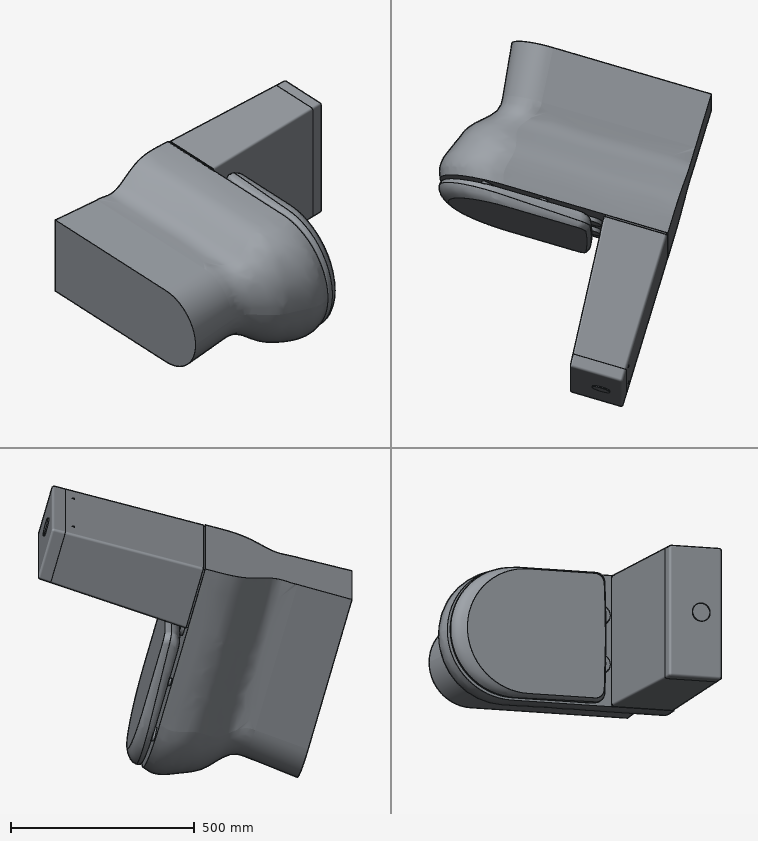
import cadquery as cq
import math


TOTAL_HEIGHT = 849.0
BODY_WIDTH = 365.0
HALF_WIDTH = BODY_WIDTH / 2

RIM_HEIGHT = 414.0
FLOOR_SECTION = (0, 119.0, 567.0)
WAIST_SECTION = (153, 112.0, 548.0)
BASIN_SECTIONS = [
    WAIST_SECTION,
    (178, 110.0, 548.0),
    (212, 109.5, 568.0),
    (250.5, 132.0, 607.0),
    (297, 166.0, 632.0),
    (344.0, 181.0, 649.5),
    (386.0, HALF_WIDTH, 656.0),
    (RIM_HEIGHT, HALF_WIDTH, 647.0),
]

TANK_BOTTOM = 419.0
TANK_DEPTH = 180.0
LID_JOINT_HEIGHT = 809.0
LID_TOP = 846.0
LID_DEPTH = 149.0
TANK_FILLET = 7.0
FOOT_INSET = 3.0
BACK_HOLE_DIAMETER = 7.0
BACK_HOLE_DEPTH = 13.0
BACK_HOLE_HEIGHT = 786.0
BACK_HOLE_Z = 115.5

BUTTON_DIAMETER = 50.0
BUTTON_X = 60.0

SEAT_BOTTOM = 423.0
COVER_TOP = 469.0
SEAT_SECTIONS = [
    (SEAT_BOTTOM, 171.5, 229.0, 640.0),
    (430.5, 180.0, 214.0, 643.5),
    (445.0, 181.0, 206.0, 640.0),
    (458.5, 178.0, 208.0, 627.0),
    (COVER_TOP, 173.0, 213.0, 607.0),
]
SEAT_CORNER_RADIUS = 25.5
SEAT_REAR_BOW = 3.0
JOINT_REAR_HEIGHT = 452.0
JOINT_REAR_X = 206.0
JOINT_FRONT_HEIGHT = 434.0
JOINT_FRONT_X = 643.5
JOINT_OVERHANG = 17.0

PAD_XS = [355.0, 511.0]
PAD_Z = 136.0
PAD_CENTRE_X = 407.5
PAD_LENGTH = 42.5
PAD_WIDTH = 20.0

HINGE_DIAMETER = 53.5
HINGE_TOP = 426.0
HINGE_X = 212.0
HINGE_Z = 68.0


def level(height):
    """Horizontal workplane at a height, with local x along X and local y along -Z."""
    return cq.Workplane("XZ", origin=(0, height, 0)).transformed(rotate=(180, 0, 0))


def bowl_section(height, half_width, front):
    """Flat-backed outline with straight sides and a half-round front, split at its tip."""
    centre = front - half_width
    diagonal = half_width * math.sqrt(0.5)
    return (
        level(height)
        .moveTo(0, -half_width)
        .lineTo(centre, -half_width)
        .threePointArc((centre + diagonal, -diagonal), (front, 0))
        .threePointArc((centre + diagonal, diagonal), (centre, half_width))
        .lineTo(0, half_width)
        .close()
        .wire()
        .val()
    )


def make_bowl():
    pedestal = cq.Solid.makeLoft([bowl_section(*FLOOR_SECTION), bowl_section(*WAIST_SECTION)], True)
    basin = cq.Solid.makeLoft([bowl_section(*section) for section in BASIN_SECTIONS])
    return cq.Workplane(pedestal).union(cq.Workplane(basin))


def tank_depth_at(height):
    """Depth of the tank where its sloping front passes a height."""
    slope = (LID_DEPTH - TANK_DEPTH) / (LID_TOP - TANK_BOTTOM)
    return TANK_DEPTH + slope * (height - TANK_BOTTOM)


def tank_block(bottom, top):
    """Part of the tapered tank between two heights, with its four upright edges rounded."""
    block = (
        cq.Workplane("XY", origin=(0, 0, -HALF_WIDTH))
        .polyline([(0, bottom), (tank_depth_at(bottom), bottom), (tank_depth_at(top), top), (0, top)])
        .close()
        .extrude(BODY_WIDTH)
    )
    return block.faces("<Z or >Z").edges("not #Y").fillet(TANK_FILLET)


def make_tank():
    foot = (
        level(RIM_HEIGHT)
        .center(TANK_DEPTH / 2, 0)
        .rect(TANK_DEPTH - 2 * FOOT_INSET, BODY_WIDTH - 2 * FOOT_INSET)
        .extrude(TANK_BOTTOM - RIM_HEIGHT)
    )
    back_holes = (
        cq.Workplane("YZ")
        .pushPoints([(BACK_HOLE_HEIGHT, -BACK_HOLE_Z), (BACK_HOLE_HEIGHT, BACK_HOLE_Z)])
        .circle(BACK_HOLE_DIAMETER / 2)
        .extrude(BACK_HOLE_DEPTH)
    )
    return tank_block(TANK_BOTTOM, LID_JOINT_HEIGHT).union(foot).cut(back_holes)


def make_tank_lid():
    return tank_block(LID_JOINT_HEIGHT, LID_TOP).faces(">Y").edges().fillet(TANK_FILLET)


def make_button():
    return (
        level(LID_TOP)
        .center(BUTTON_X, 0)
        .circle(BUTTON_DIAMETER / 2)
        .extrude(TOTAL_HEIGHT - LID_TOP)
    )


def seat_section(height, half_width, rear, front):
    """Outline with a bowed rear, rounded rear corners, straight sides and a half-round front."""
    centre = front - half_width
    corner_start = rear + SEAT_REAR_BOW
    corner_x = corner_start + SEAT_CORNER_RADIUS
    corner_z = half_width - SEAT_CORNER_RADIUS
    bulge = SEAT_CORNER_RADIUS * math.sqrt(0.5)
    return (
        level(height)
        .moveTo(corner_x, -half_width)
        .lineTo(centre, -half_width)
        .threePointArc((front, 0), (centre, half_width))
        .lineTo(corner_x, half_width)
        .threePointArc((corner_x - bulge, corner_z + bulge), (corner_start, corner_z))
        .threePointArc((rear, 0), (corner_start, -corner_z))
        .threePointArc((corner_x - bulge, -corner_z - bulge), (corner_x, -half_width))
        .close()
        .wire()
        .val()
    )


def seat_and_cover():
    wires = [seat_section(*section) for section in SEAT_SECTIONS]
    return cq.Workplane(cq.Solid.makeLoft(wires))


def above_joint():
    """Block above the sloping joint between the seat and its cover, reaching past both ends."""
    slope = (JOINT_FRONT_HEIGHT - JOINT_REAR_HEIGHT) / (JOINT_FRONT_X - JOINT_REAR_X)
    rear = JOINT_REAR_X - JOINT_OVERHANG
    front = JOINT_FRONT_X + JOINT_OVERHANG
    block_top = COVER_TOP + JOINT_OVERHANG
    return (
        cq.Workplane("XY", origin=(0, 0, -HALF_WIDTH))
        .moveTo(rear, JOINT_REAR_HEIGHT - slope * JOINT_OVERHANG)
        .lineTo(front, JOINT_FRONT_HEIGHT + slope * JOINT_OVERHANG)
        .lineTo(front, block_top)
        .lineTo(rear, block_top)
        .close()
        .extrude(BODY_WIDTH)
    )


def seat_pad(x, z):
    """Round-ended pad from the rim to the seat."""
    angle = math.degrees(math.atan2(-z, x - PAD_CENTRE_X))
    return (
        level(RIM_HEIGHT)
        .center(x, -z)
        .transformed(rotate=(0, 0, angle))
        .slot2D(PAD_LENGTH, PAD_WIDTH)
        .extrude(SEAT_BOTTOM - RIM_HEIGHT)
    )


def make_hinge(z):
    return (
        level(RIM_HEIGHT)
        .center(HINGE_X, -z)
        .circle(HINGE_DIAMETER / 2)
        .extrude(HINGE_TOP - RIM_HEIGHT)
    )


def make_seat(hinges):
    seat = seat_and_cover().cut(above_joint())
    for x in PAD_XS:
        for z in (-PAD_Z, PAD_Z):
            seat = seat.union(seat_pad(x, z))
    for hinge in hinges:
        seat = seat.cut(hinge)
    return seat


def make_cover():
    return seat_and_cover().intersect(above_joint())


bowl = make_bowl()
tank = make_tank()
tank_lid = make_tank_lid()
button = make_button()
hinges = [make_hinge(z) for z in (-HINGE_Z, HINGE_Z)]
seat = make_seat(hinges)
cover = make_cover()

bodies = [bowl, tank, tank_lid, button, seat, cover, *hinges]
result = cq.Compound.makeCompound([solid for body in bodies for solid in body.solids().vals()])